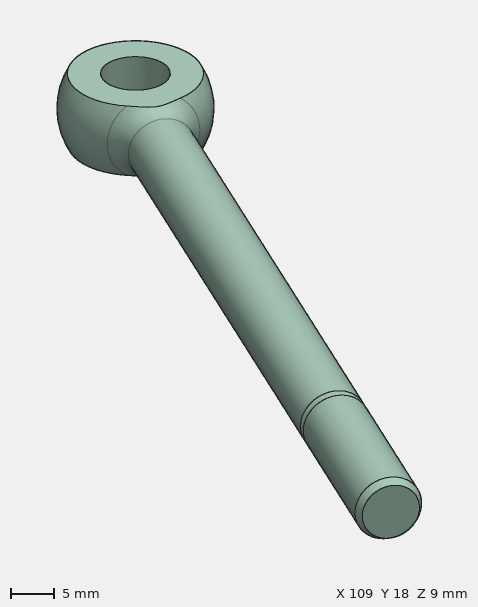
import cadquery as cq
import math

overall_length = 109.0
ball_diameter = 18.0
eye_thickness = 9.0
bore_diameter = 8.0
shank_diameter = 8.0
neck_fillet_radius = 4.0
groove_width = 1.1
groove_depth = 0.5
groove_to_end = 21.8
tip_chamfer_length = 1.0
tip_chamfer_angle = 30.0

ball_radius = ball_diameter / 2
shank_radius = shank_diameter / 2
shank_end = overall_length - ball_radius
groove_center = shank_end - groove_to_end
tip_radius = shank_radius - tip_chamfer_length * math.tan(math.radians(tip_chamfer_angle))

fillet_center_height = shank_radius + neck_fillet_radius
center_distance = ball_radius + neck_fillet_radius
neck_end = math.sqrt(center_distance**2 - fillet_center_height**2)
fillet_angle = math.atan2(fillet_center_height, neck_end)
neck_start = (ball_radius * math.cos(fillet_angle), ball_radius * math.sin(fillet_angle))

mid_angle = (fillet_angle + math.pi / 2) / 2 + math.pi
neck_mid = (
    neck_end + neck_fillet_radius * math.cos(mid_angle),
    fillet_center_height + neck_fillet_radius * math.sin(mid_angle),
)


def make_body():
    """Revolve the ball, neck and shank profile about the X axis."""
    ball_mid = (
        ball_radius * math.cos((math.pi + fillet_angle) / 2),
        ball_radius * math.sin((math.pi + fillet_angle) / 2),
    )
    profile = (
        cq.Workplane("XY")
        .moveTo(-ball_radius, 0)
        .threePointArc(ball_mid, neck_start)
        .threePointArc(neck_mid, (neck_end, shank_radius))
        .lineTo(groove_center - groove_width / 2, shank_radius)
        .lineTo(groove_center, shank_radius - groove_depth)
        .lineTo(groove_center + groove_width / 2, shank_radius)
        .lineTo(shank_end - tip_chamfer_length, shank_radius)
        .lineTo(shank_end, tip_radius)
        .lineTo(shank_end, 0)
        .close()
    )
    return profile.revolve(360, (0, 0, 0), (1, 0, 0))


def make_eye_flats(body):
    """Trim the ball to two parallel faces at the eye thickness."""
    slab_side = 3 * overall_length
    slab = cq.Workplane("XY").box(slab_side, slab_side, eye_thickness)
    return body.intersect(slab)


def make_bore():
    """Through hole across the flats, made longer than the eye is thick."""
    return cq.Workplane("XY").cylinder(2 * eye_thickness, bore_diameter / 2)


result = make_eye_flats(make_body()).cut(make_bore())